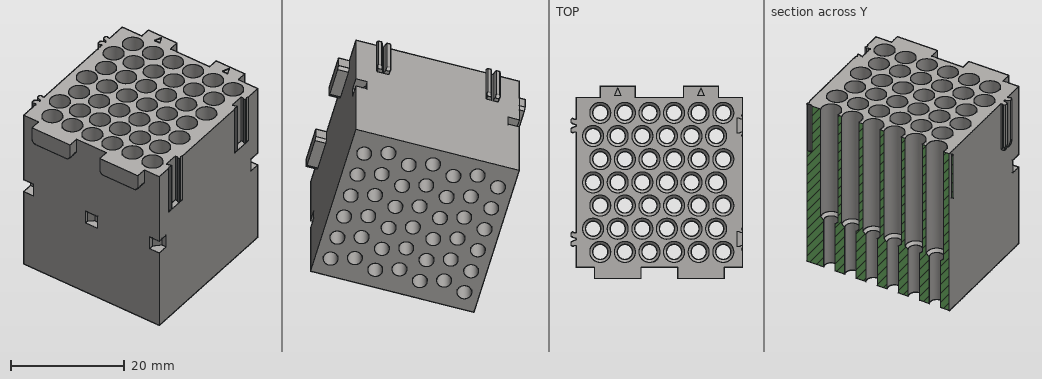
import cadquery as cq

height = 34.1
body_x = 29.4
body_y = 30.0
half_x = body_x / 2
half_y = body_y / 2

overall_y = 34.0
tab_reach = (overall_y - body_y) / 2
tab_height = 3.48
tab_corner = 0.55
tab_place = body_x / 4
front_tab_width = 8.25
back_tab_width = 6.2

arrow_width = 1.15
arrow_length = 1.35
arrow_margin = 0.3
engraving_depth = 0.17

columns = 6
rows = 7
row_pitch = 4.1
row_shift = 1.25
first_column_x = -10.45
last_column_x = 11.3
column_pitch = (last_column_x - first_column_x) / (columns - 1)
bore_diameter = 3.7
outlet_diameter = 2.63
shoulder_bottom = 10.23
shoulder_height = 0.55

latch_place = 10.03
latch_length = 10.03
latch_reach = 0.92
root_overlap = 0.35
latch_tip_start = 8.95
latch_tip_taper = 14.0
latch_neck = 1.15
latch_bulge = 1.33
latch_nose = 1.1
neck_reach = 0.3
bulge_reach = 0.6
split_root = 0.1
split_middle = 0.3
split_mouth = 0.5
slot_depth = 1.02
relief_place = 1.77
relief_half_width = 0.38
relief_depth = 0.17

notch_height = 2.7
corner_notch_bottom = 16.6
corner_notch_side = 2.08
corner_notch_cut = 0.92
front_notch_bottom = 15.85
front_notch_width = 2.55
front_notch_floor_width = 0.6
front_notch_wall = 0.65
front_notch_depth = 1.43


def prism(points, bottom, top):
    """Vertical prism over an outline in the XY plane."""
    return cq.Workplane("XY").workplane(offset=bottom).polyline(points).close().extrude(top - bottom)


def mirrored_outline(half_outline):
    """Close an outline by mirroring its (x, y) points about the X axis."""
    return half_outline + [(x, -y) for x, y in reversed(half_outline)]


def tab(center_x, width, side):
    """Tab with two bevelled lower corners; side is -1 for the front, +1 for the back."""
    half_length = half_y + tab_reach
    return (
        cq.Workplane("XY")
        .box(width, half_length, tab_height, centered=(True, True, False))
        .edges("|Y and <Z")
        .chamfer(tab_corner)
        .translate((center_x, side * half_length / 2, height - tab_height))
    )


def arrow(center_x):
    """Shallow triangle pointing toward +Y on the top of a back tab."""
    base_y = half_y + arrow_margin
    points = [
        (center_x - arrow_width / 2, base_y),
        (center_x + arrow_width / 2, base_y),
        (center_x, base_y + arrow_length),
    ]
    return prism(points, height - engraving_depth, height)


def tube_hole(x, y):
    """Through hole: wide bore from the top, conical shoulder, narrower bore to the bottom."""
    bore_radius = bore_diameter / 2
    outlet_radius = outlet_diameter / 2
    profile = [
        (0, 0),
        (outlet_radius, 0),
        (outlet_radius, shoulder_bottom),
        (bore_radius, shoulder_bottom + shoulder_height),
        (bore_radius, height),
        (0, height),
    ]
    return cq.Workplane("XZ").polyline(profile).close().revolve(360, (0, 0), (0, 1)).translate((x, y, 0))


def latch(center_y):
    """Two hooked fingers with a tapered lower tip, standing out of the -X face."""
    finger = [
        (-root_overlap, latch_neck),
        (neck_reach, latch_neck),
        (bulge_reach, latch_bulge),
        (latch_reach, latch_nose),
        (latch_reach, split_mouth),
        (bulge_reach, split_middle),
        (0, split_root),
    ]
    points = [(-half_x - x, center_y + y) for x, y in mirrored_outline(finger)]
    fingers = prism(points, height - latch_length, height)
    tip = (
        cq.Workplane("XY")
        .workplane(offset=height - latch_tip_start)
        .center(-half_x, center_y)
        .rect(2 * latch_reach, 2 * latch_bulge)
        .extrude(-(latch_length - latch_tip_start), taper=latch_tip_taper)
    )
    shank = (
        cq.Workplane("XY")
        .box(2 * latch_reach, 2 * latch_bulge, latch_tip_start, centered=(True, True, False))
        .translate((-half_x, center_y, height - latch_tip_start))
    )
    return fingers.intersect(shank.union(tip))


def latch_slot(center_y):
    """Undercut slot in the +X face with a shallow groove beside each lip."""
    half_outline = [
        (0, latch_neck),
        (neck_reach, latch_neck),
        (bulge_reach, latch_bulge),
        (slot_depth, latch_bulge),
    ]
    points = [(half_x - x, center_y + y) for x, y in mirrored_outline(half_outline)]
    slot = prism(points, height - latch_length, height)
    for side in (-1, 1):
        groove_y = center_y + side * relief_place
        groove = [
            (half_x, groove_y - relief_half_width),
            (half_x - relief_depth, groove_y),
            (half_x, groove_y + relief_half_width),
        ]
        slot = slot.union(prism(groove, height - latch_length, height))
    return slot


def corner_notch(side_x, side_y):
    """Square pocket on a vertical edge whose inner corner is cut off."""
    points = [
        (0, 0),
        (corner_notch_side, 0),
        (corner_notch_side, corner_notch_cut),
        (corner_notch_cut, corner_notch_side),
        (0, corner_notch_side),
    ]
    points = [(side_x * (half_x - x), side_y * (half_y - y)) for x, y in points]
    return prism(points, corner_notch_bottom, corner_notch_bottom + notch_height)


def front_notch():
    """Pocket with straight side walls and a narrow floor between two slopes."""
    points = [
        (-front_notch_width / 2, 0),
        (-front_notch_width / 2, front_notch_wall),
        (-front_notch_floor_width / 2, front_notch_depth),
        (front_notch_floor_width / 2, front_notch_depth),
        (front_notch_width / 2, front_notch_wall),
        (front_notch_width / 2, 0),
    ]
    points = [(x, y - half_y) for x, y in points]
    return prism(points, front_notch_bottom, front_notch_bottom + notch_height)


block = cq.Workplane("XY").box(body_x, body_y, height, centered=(True, True, False))

for side in (-1, 1):
    block = block.union(tab(side * tab_place, front_tab_width, -1))
    block = block.union(tab(side * tab_place, back_tab_width, 1))
    block = block.cut(arrow(side * tab_place))
    block = block.union(latch(side * latch_place))
    block = block.cut(latch_slot(side * latch_place))

for side_x in (-1, 1):
    for side_y in (-1, 1):
        block = block.cut(corner_notch(side_x, side_y))

block = block.cut(front_notch())

for row in range(rows):
    shift = row_shift * (row % 2)
    row_y = (row - (rows - 1) / 2) * row_pitch
    for column in range(columns):
        block = block.cut(tube_hole(first_column_x + column * column_pitch - shift, row_y))

result = block